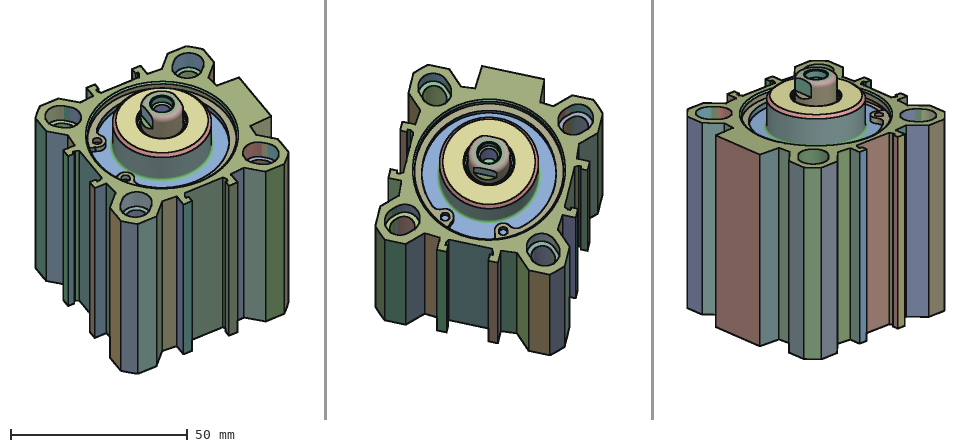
import cadquery as cq
import math


rod_top = 72.0
housing_height = 59.6
collar_top = 65.45
ring_depth = 2.15
ring_top = housing_height - ring_depth
ring_thickness = 1.7
ring_bottom = ring_top - ring_thickness
cover_thickness = 11.5
recess_floor = ring_bottom - cover_thickness

lug_reach = 27.5
lug_outer = 24.0
lug_inner = 17.85
wall_outer = 13.4
wall_edge = lug_reach - (lug_inner - wall_outer)
wall_face = 23.4

rail_outer = 8.85
rail_lip = 6.05
rail_neck = 6.85
rail_root = 6.3
rail_tip = 27.2
lip_thickness = 2.0
neck_depth = 24.5

boss_reach = 30.5
boss_half_base = 9.4
boss_half_top = 9.1

mount_offset = 20.45
mount_diameter = 6.3
mount_counterbore = 8.6
mount_counterbore_depth = 5.75
mount_stretch = 1.0
counterbore_stretch = 1.65

bore_diameter = 42.2
bore_chamfer = 0.5
cover_diameter = 41.7
ring_diameter = 44.7
ring_inner_diameter = 38.0
ear_circle_radius = 18.35
ear_radius = 2.45
ear_half_angle = 27.6
ear_fillet = 2.5
ear_hole_diameter = 2.5
ring_turn = -2.0

collar_diameter = 28.0
collar_chamfer = 0.9
collar_fillet = 0.8
rod_seat_chamfer = 0.3
rod_seat_steps = [
    (14.0, 0.65),
    (13.7, 1.15),
    (12.5, 1.7),
]

rod_diameter = 12.0
rod_fillet = 1.45
flat_width = 10.0
flat_bottom = 67.5
thread_diameter = 6.3
thread_chamfer = 0.3
thread_depth = 2.4
thread_end_half_angle = 60.0
drill_diameter = 4.9
drill_depth = 10.1
drill_tip_half_angle = 79.0


def mirrored(points):
    """Reflect a run of outline points across the Y axis, keeping the order of travel."""
    return [(-x, y) for x, y in reversed(points)]


def rotated(points, quarter_turns):
    """Turn outline points about Z by a number of clockwise quarter turns."""
    for _ in range(quarter_turns):
        points = [(y, -x) for x, y in points]
    return points


def side_outline(half_middle):
    """Outline of the +Y side from its left lug to its right lug, given its right middle run."""
    half = half_middle + [(wall_outer, wall_edge), (lug_inner, lug_reach), (lug_outer, lug_reach)]
    return mirrored(half) + half


def make_housing():
    boss = [(boss_half_top, boss_reach), (boss_half_base, wall_face)]
    rail = [
        (rail_root, wall_face),
        (rail_neck, neck_depth),
        (rail_neck, rail_tip - lip_thickness),
        (rail_lip, rail_tip - lip_thickness),
        (rail_lip, rail_tip),
        (rail_outer, rail_tip),
        (rail_outer, wall_face),
    ]
    sides = [side_outline(boss)] + [rotated(side_outline(rail), turn) for turn in (1, 2, 3)]

    corner_middle = math.hypot(lug_reach, lug_outer) / math.sqrt(2)
    corner = (corner_middle, corner_middle)

    outline = cq.Workplane("XY").moveTo(*sides[0][0])
    for turn, side in enumerate(sides):
        outline = outline.polyline(side[1:], includeCurrent=True)
        next_start = sides[(turn + 1) % len(sides)][0]
        outline = outline.threePointArc(rotated([corner], turn)[0], next_start)
    body = outline.close().extrude(housing_height)

    return cut_mounting_holes(cut_bore(body))


def cut_bore(body):
    bore_radius = bore_diameter / 2
    cover_radius = cover_diameter / 2
    ring_radius = ring_diameter / 2
    bore = (
        cq.Workplane("XZ")
        .polyline([
            (0, recess_floor),
            (cover_radius, recess_floor),
            (cover_radius, ring_bottom),
            (ring_radius, ring_bottom),
            (ring_radius, ring_top),
            (bore_radius, ring_top),
            (bore_radius, housing_height - bore_chamfer),
            (bore_radius + bore_chamfer, housing_height),
            (0, housing_height),
        ])
        .close()
        .revolve(360, (0, 0, 0), (0, 1, 0))
    )
    return body.cut(bore)


def cut_mounting_holes(body):
    steps = [
        (mount_diameter, mount_stretch, 0),
        (mount_counterbore, counterbore_stretch, housing_height - mount_counterbore_depth),
    ]
    for x_side in (-1, 1):
        for y_side in (-1, 1):
            for diameter, stretch, bottom in steps:
                hole = (
                    cq.Workplane("XY", origin=(0, 0, bottom))
                    .center(x_side * mount_offset, y_side * mount_offset)
                    .slot2D(diameter + stretch, diameter, 45 * x_side * y_side)
                    .extrude(housing_height - bottom)
                )
                body = body.cut(hole)
    return body


def make_cover():
    disc = (
        cq.Workplane("XY", origin=(0, 0, recess_floor))
        .circle(cover_diameter / 2)
        .extrude(cover_thickness)
    )
    collar = (
        cq.Workplane("XY", origin=(0, 0, ring_bottom))
        .circle(collar_diameter / 2)
        .extrude(collar_top - ring_bottom)
        .faces(">Z")
        .chamfer(collar_chamfer)
    )
    annular_face = cq.selectors.NearestToPointSelector((0, ear_circle_radius, ring_bottom))
    collar_root = cq.selectors.RadiusNthSelector(0)
    cover = disc.union(collar).faces(annular_face).edges(collar_root).fillet(collar_fillet)
    return cut_rod_bore(cover)


def cut_rod_bore(cover):
    rod_radius = rod_diameter / 2
    mouth_radius = rod_seat_steps[0][0] / 2
    profile = [
        (0, collar_top),
        (mouth_radius + rod_seat_chamfer, collar_top),
        (mouth_radius, collar_top - rod_seat_chamfer),
    ]
    for next_step, (diameter, depth) in enumerate(rod_seat_steps, start=1):
        last = next_step == len(rod_seat_steps)
        inner_radius = rod_radius if last else rod_seat_steps[next_step][0] / 2
        profile += [(diameter / 2, collar_top - depth), (inner_radius, collar_top - depth)]
    profile += [(rod_radius, recess_floor), (0, recess_floor)]
    rod_bore = cq.Workplane("XZ").polyline(profile).close().revolve(360, (0, 0, 0), (0, 1, 0))
    return cover.cut(rod_bore)


def make_rod():
    rod = (
        cq.Workplane("XY", origin=(0, 0, recess_floor))
        .circle(rod_diameter / 2)
        .extrude(rod_top - recess_floor)
        .faces(">Z")
        .edges()
        .fillet(rod_fillet)
    )
    rod = cut_wrench_flats(rod)
    return cut_threaded_hole(rod)


def cut_wrench_flats(rod):
    flat = flat_width / 2
    reach = rod_diameter
    for side in (-1, 1):
        notch = (
            cq.Workplane("YZ")
            .polyline([
                (side * flat, rod_top),
                (side * flat, flat_bottom),
                (side * reach, flat_bottom - (reach - flat)),
                (side * reach, rod_top),
            ])
            .close()
            .extrude(rod_diameter, both=True)
        )
        rod = rod.cut(notch)
    return rod


def cut_threaded_hole(rod):
    thread_radius = thread_diameter / 2
    drill_radius = drill_diameter / 2
    tip_height = drill_radius / math.tan(math.radians(drill_tip_half_angle))
    cone_height = (thread_radius - drill_radius) / math.tan(math.radians(thread_end_half_angle))
    cone_bottom = rod_top - thread_depth - cone_height
    hole = (
        cq.Workplane("XZ")
        .polyline([
            (0, rod_top),
            (thread_radius + thread_chamfer, rod_top),
            (thread_radius, rod_top - thread_chamfer),
            (thread_radius, rod_top - thread_depth),
            (drill_radius, cone_bottom),
            (drill_radius, rod_top - drill_depth),
            (0, rod_top - drill_depth - tip_height),
        ])
        .close()
        .revolve(360, (0, 0, 0), (0, 1, 0))
    )
    return rod.cut(hole)


def make_retaining_ring():
    plane = cq.Workplane("XY", origin=(0, 0, ring_bottom))
    band = plane.circle(ring_diameter / 2).circle(ring_inner_diameter / 2).extrude(ring_thickness)

    end_angle = math.radians(ear_half_angle) - math.asin(ear_radius / ear_circle_radius)
    gap_half = ring_diameter * math.tan(end_angle)
    gap = (
        plane.polyline([(0, 0), (-gap_half, -ring_diameter), (gap_half, -ring_diameter)])
        .close()
        .extrude(ring_thickness)
    )
    ring = band.cut(gap)

    ear_x = ear_circle_radius * math.sin(math.radians(ear_half_angle))
    ear_y = -ear_circle_radius * math.cos(math.radians(ear_half_angle))
    ear_points = [(-ear_x, ear_y), (ear_x, ear_y)]
    ears = plane.pushPoints(ear_points).circle(ear_radius).extrude(ring_thickness)
    ring = ring.union(ears)

    angle = math.radians(ear_half_angle) + math.asin(ear_radius / ear_circle_radius)
    inner_radius = ring_inner_diameter / 2
    for side in (-1, 1):
        corner = (
            side * inner_radius * math.sin(angle),
            -inner_radius * math.cos(angle),
            ring_bottom + ring_thickness / 2,
        )
        corner_edge = cq.selectors.NearestToPointSelector(corner)
        ring = ring.edges("|Z").edges(corner_edge).fillet(ear_fillet)

    ear_holes = plane.pushPoints(ear_points).circle(ear_hole_diameter / 2).extrude(ring_thickness)
    return ring.cut(ear_holes).rotate((0, 0, 0), (0, 0, 1), ring_turn)


housing = make_housing()
cover = make_cover()
rod = make_rod()
retaining_ring = make_retaining_ring()

result = cq.Compound.makeCompound([
    housing.val(),
    cover.val(),
    rod.val(),
    retaining_ring.val(),
])